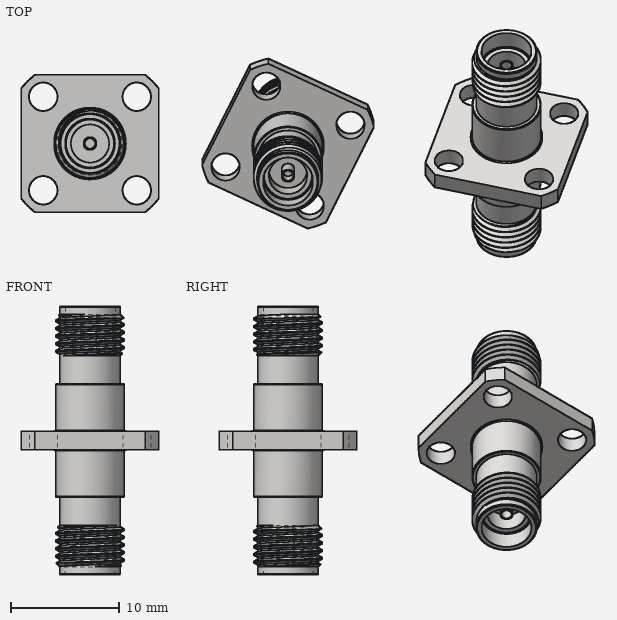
import cadquery as cq
import math

length = 24.82
half_length = length / 2

flange_side = 12.7
flange_thickness = 1.74
flange_corner_diameter = 16.28
mount_hole_diameter = 2.6
mount_hole_spacing = 8.64

body_diameter = 6.35
body_half_length = 5.24
body_chamfer = 0.07
collar_diameter = 6.65
collar_height = 0.07
core_diameter = 5.6
rim_chamfer = 0.1

thread_major_diameter = body_diameter
thread_counted_turns = 5
thread_counted_rise = 3.52
thread_pitch = thread_counted_rise / thread_counted_turns
thread_rim_setback = 0.77
thread_length = 3.8
thread_half_angle = 30.0
thread_crest_width = 0.1
thread_root_overlap = 0.05
thread_crest_height_at_minus_x = 11.05

mouth_diameter = 4.62
mouth_depth = 1.9
mouth_floor_chamfer = 0.1
air_gap_diameter = 3.52
air_gap_depth = 1.99
contact_diameter = 1.2
contact_hole_diameter = 0.97
contact_hole_depth = 1.5


def cylinder(diameter, bottom, top):
    """Cylinder on the Z axis between two heights."""
    return cq.Workplane("XY").workplane(offset=bottom).circle(diameter / 2).extrude(top - bottom)


def make_flange():
    """Square plate with corners turned to a common circle and four mounting holes."""
    square = cq.Workplane("XY").box(flange_side, flange_side, flange_thickness)
    disc = cylinder(flange_corner_diameter, -flange_thickness / 2, flange_thickness / 2)
    return (
        square.intersect(disc)
        .faces(">Z")
        .workplane(origin=(0, 0, 0))
        .rect(mount_hole_spacing, mount_hole_spacing, forConstruction=True)
        .vertices()
        .hole(mount_hole_diameter)
    )


def make_barrel():
    """Upper half of the barrel: flared collar, body and core."""
    flange_top = flange_thickness / 2
    body = cylinder(body_diameter, 0, body_half_length).faces(">Z").chamfer(body_chamfer)
    core = cylinder(core_diameter, 0, half_length).faces(">Z").chamfer(rim_chamfer)
    collar = (
        cq.Workplane("XZ")
        .moveTo(0, flange_top)
        .lineTo(collar_diameter / 2, flange_top)
        .lineTo(body_diameter / 2, flange_top + collar_height)
        .lineTo(0, flange_top + collar_height)
        .close()
        .revolve(360, (0, 0, 0), (0, 1, 0))
    )
    return body.union(core).union(collar)


def make_thread():
    """Helical ridge around the upper core, trimmed to the threaded length with bevelled ends."""
    top = half_length - thread_rim_setback
    bottom = top - thread_length
    crest_radius = thread_major_diameter / 2
    root_radius = core_diameter / 2 - thread_root_overlap
    half_crest = thread_crest_width / 2
    half_root = half_crest + (crest_radius - root_radius) * math.tan(math.radians(thread_half_angle))

    turns_below_crest = math.ceil((thread_crest_height_at_minus_x - bottom) / thread_pitch) + 1
    start = thread_crest_height_at_minus_x - turns_below_crest * thread_pitch
    turns = math.ceil((top - start) / thread_pitch) + 1

    helix_base = cq.Vector(0, 0, start)
    helix = cq.Wire.makeHelix(thread_pitch, turns * thread_pitch, root_radius, center=helix_base)
    ridge = (
        cq.Workplane("XZ", origin=(0, 0, start))
        .moveTo(root_radius, -half_root)
        .lineTo(crest_radius, -half_crest)
        .lineTo(crest_radius, half_crest)
        .lineTo(root_radius, half_root)
        .close()
        .sweep(cq.Workplane(obj=helix), isFrenet=True)
        .rotate((0, 0, 0), (0, 0, 1), 180)
    )

    blank_diameter = thread_major_diameter + thread_pitch
    bevel = (blank_diameter - core_diameter) / 2
    envelope = cylinder(blank_diameter, bottom, top).edges("%CIRCLE").chamfer(bevel)
    return ridge.intersect(envelope)


def make_socket():
    """Material removed from the upper end, leaving the hollow centre contact."""
    mouth_floor = half_length - mouth_depth
    mouth = cylinder(mouth_diameter, mouth_floor, half_length).faces("<Z").chamfer(mouth_floor_chamfer)
    air_gap = cylinder(air_gap_diameter, mouth_floor - air_gap_depth, mouth_floor)
    contact = cylinder(contact_diameter, mouth_floor - air_gap_depth, mouth_floor)
    contact_hole = cylinder(contact_hole_diameter, mouth_floor - contact_hole_depth, mouth_floor)
    return mouth.union(air_gap.cut(contact)).union(contact_hole)


upper_half = make_barrel().union(make_thread()).cut(make_socket())
lower_half = upper_half.rotate((0, 0, 0), (0, 1, 0), 180)
result = make_flange().union(upper_half).union(lower_half)